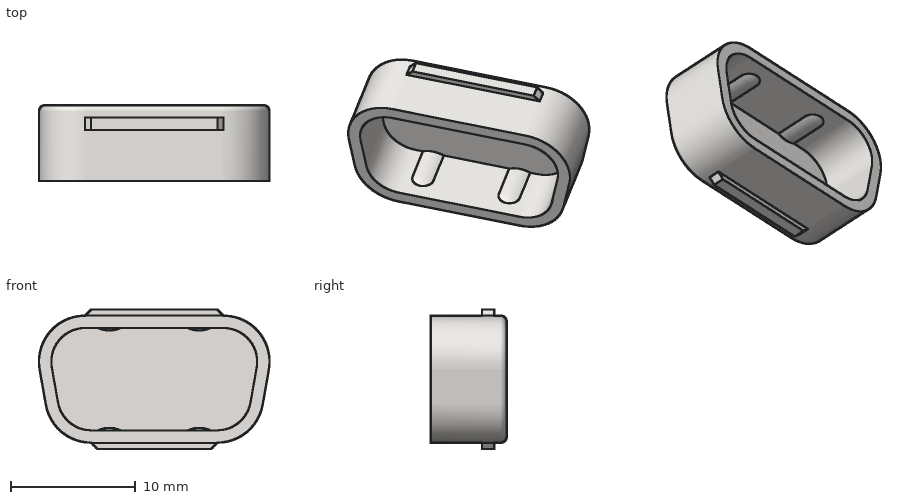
import cadquery as cq
import math

width = 18.5
height = 10.2
depth = 6.1
corner_radius = 3.7
side_angle = math.radians(10)
wall = 1.0
floor = 1.0
back_fillet = 0.5

rib_height = 0.5
rib_length = 1.0
rib_back_gap = 1.0

ridge_spacing = 7.2
ridge_radius = 2.0
ridge_height = 0.2
ridge_straight = 3.0

corner_z = height / 2 - corner_radius
upper_corner_x = width / 2 - corner_radius
lower_corner_x = upper_corner_x - 2 * corner_z * math.tan(side_angle)

floor_y = depth - floor
inner_half_height = height / 2 - wall


def extrude_back(sketch, start_y, length):
    """Extrude an XZ sketch by length towards +Y, starting at start_y."""
    return sketch.extrude(-length).translate((0, start_y, 0))


def d_prism(radius, length):
    """Prism of the D outline with the given corner radius, from y = 0 back."""

    def arc_point(center_x, center_z, angle, side):
        x = center_x + radius * math.cos(angle)
        return (side * x, center_z + radius * math.sin(angle))

    top, bottom, tangent = math.pi / 2, -math.pi / 2, -side_angle
    upper_middle = (top + tangent) / 2
    lower_middle = (bottom + tangent) / 2

    def upper(angle, side):
        return arc_point(upper_corner_x, corner_z, angle, side)

    def lower(angle, side):
        return arc_point(lower_corner_x, -corner_z, angle, side)

    outline = (
        cq.Workplane("XZ")
        .moveTo(*upper(top, -1))
        .lineTo(*upper(top, 1))
        .threePointArc(upper(upper_middle, 1), upper(tangent, 1))
        .lineTo(*lower(tangent, 1))
        .threePointArc(lower(lower_middle, 1), lower(bottom, 1))
        .lineTo(*lower(bottom, -1))
        .threePointArc(lower(lower_middle, -1), lower(tangent, -1))
        .lineTo(*upper(tangent, -1))
        .threePointArc(upper(upper_middle, -1), upper(top, -1))
        .close()
    )
    return extrude_back(outline, 0, length)


def make_shell():
    outside = d_prism(corner_radius, depth).faces(">Y").edges().fillet(back_fillet)
    return outside.cut(d_prism(corner_radius - wall, floor_y))


def make_rib(half_base, side):
    """Rib with 45 degree ends; side is 1 for the top wall, -1 for the bottom."""
    base_z = side * height / 2
    crest_z = base_z + side * rib_height
    half_crest = half_base - rib_height
    profile = cq.Workplane("XZ").polyline(
        [(-half_base, base_z), (half_base, base_z), (half_crest, crest_z), (-half_crest, crest_z)]
    ).close()
    return extrude_back(profile, depth - rib_back_gap - rib_length, rib_length)


def make_ridge(x, side):
    """Cylinder with a ball end, sunk in the wall so only a low crest shows."""
    axis_z = side * (inner_half_height + ridge_radius - ridge_height)
    ball_y = floor_y - ridge_straight
    section = cq.Workplane("XZ").center(x, axis_z).circle(ridge_radius)
    bar = extrude_back(section, ball_y, ridge_straight)
    ball = cq.Workplane("XY").sphere(ridge_radius).translate((x, ball_y, axis_z))
    root = wall / 2
    limit_z = side * (inner_half_height + (root - ridge_height) / 2)
    crest_limit = (
        cq.Workplane("XY")
        .box(2 * ridge_radius, depth, ridge_height + root)
        .translate((x, depth / 2, limit_z))
    )
    return bar.union(ball).intersect(crest_limit)


result = make_shell()
for side, half_base in ((1, upper_corner_x), (-1, lower_corner_x)):
    result = result.union(make_rib(half_base, side))
    for x in (-ridge_spacing / 2, ridge_spacing / 2):
        result = result.union(make_ridge(x, side))